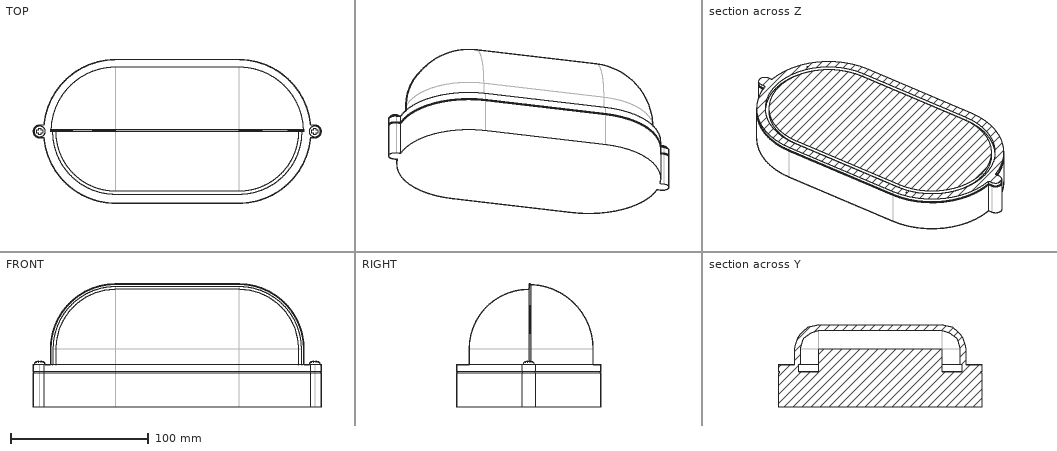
import cadquery as cq


END_SPACING = 90.0

HOUSING_RADIUS = 52.5
HOUSING_HEIGHT = 31.0
SEAM_HEIGHT = 25.5
SEAM_WIDTH = 0.8
SEAM_DEPTH = 0.3

OVERALL_LENGTH = 210.0
EAR_RADIUS = 4.75
EAR_CENTRE = OVERALL_LENGTH / 2 - EAR_RADIUS

OVERALL_HEIGHT = 90.0
LENS_RADIUS = 43.5
OPENING_RADIUS = 45.9
COVER_INNER_RADIUS = 45.5
COVER_RADIUS = 47.0
LIP_RADIUS = 47.5
EQUATOR_HEIGHT = OVERALL_HEIGHT - LIP_RADIUS
OPENING_FLOOR = SEAM_HEIGHT + SEAM_WIDTH / 2

LIP_WIDTH = 1.5
LIP_ROUNDING = 0.7

HEAD_RADIUS = 4.0
HEAD_HEIGHT = 2.5
RECESS_SPAN = 4.6
RECESS_ARM_WIDTH = 2.0
RECESS_DEPTH = 1.5


def oblong(radius, bottom, top):
    """Upright prism with straight sides and round ends."""
    return (
        cq.Workplane("XY", origin=(0, 0, bottom))
        .slot2D(END_SPACING + 2 * radius, 2 * radius)
        .extrude(top - bottom)
    )


def dome(radius, bottom):
    """Half capsule above the equator, continued straight down to the bottom height."""
    crown = EQUATOR_HEIGHT + radius
    solid = (
        cq.Workplane("YZ", origin=(-END_SPACING / 2, 0, 0))
        .moveTo(-radius, bottom)
        .lineTo(-radius, EQUATOR_HEIGHT)
        .threePointArc((0, crown), (radius, EQUATOR_HEIGHT))
        .lineTo(radius, bottom)
        .close()
        .extrude(END_SPACING)
    )
    for side in (-1, 1):
        round_end = (
            cq.Workplane("YZ", origin=(side * END_SPACING / 2, 0, 0))
            .moveTo(0, bottom)
            .lineTo(radius, bottom)
            .lineTo(radius, EQUATOR_HEIGHT)
            .radiusArc((0, crown), -radius)
            .close()
            .revolve(180, (0, 0), (0, -side))
        )
        solid = solid.union(round_end)
    return solid


def lip_plate():
    """Plate of the dome's lengthwise profile at the cut edge, with its rim rounded."""
    half_length = END_SPACING / 2 + LIP_RADIUS
    return (
        cq.Workplane("XZ")
        .moveTo(-half_length, HOUSING_HEIGHT)
        .lineTo(-half_length, EQUATOR_HEIGHT)
        .radiusArc((-END_SPACING / 2, OVERALL_HEIGHT), LIP_RADIUS)
        .lineTo(END_SPACING / 2, OVERALL_HEIGHT)
        .radiusArc((half_length, EQUATOR_HEIGHT), LIP_RADIUS)
        .lineTo(half_length, HOUSING_HEIGHT)
        .close()
        .extrude(-LIP_WIDTH)
        .faces("<Y or >Y")
        .edges("not <Z")
        .fillet(LIP_ROUNDING)
    )


def footprint(inset, bottom, top):
    """Housing outline with both ears, drawn in by the inset."""
    ears = (
        cq.Workplane("XY", origin=(0, 0, bottom))
        .slot2D(2 * (EAR_CENTRE + EAR_RADIUS - inset), 2 * (EAR_RADIUS - inset))
        .extrude(top - bottom)
    )
    return oblong(HOUSING_RADIUS - inset, bottom, top).union(ears)


def make_housing():
    seam_bottom = SEAM_HEIGHT - SEAM_WIDTH / 2
    seam_top = SEAM_HEIGHT + SEAM_WIDTH / 2
    base = footprint(0, 0, seam_bottom)
    gasket = footprint(SEAM_DEPTH, seam_bottom, seam_top)
    rim = footprint(0, seam_top, HOUSING_HEIGHT)
    opening = oblong(OPENING_RADIUS, OPENING_FLOOR, HOUSING_HEIGHT)
    return base.union(gasket).union(rim).cut(opening)


def make_cover():
    """Eyelid over the +Y half of the lens, with a rounded lip along its cut edge."""
    behind_lens = cq.Workplane("XY").box(
        OVERALL_LENGTH, HOUSING_RADIUS, OVERALL_HEIGHT, centered=(True, False, False)
    )
    shell = dome(COVER_RADIUS, HOUSING_HEIGHT).intersect(behind_lens)
    cavity = dome(COVER_INNER_RADIUS, OPENING_FLOOR)
    return shell.union(lip_plate()).cut(cavity)


def make_screw_head(x):
    head = (
        cq.Workplane("XZ")
        .lineTo(HEAD_RADIUS, 0)
        .radiusArc((HEAD_RADIUS - HEAD_HEIGHT, HEAD_HEIGHT), -HEAD_HEIGHT)
        .lineTo(0, HEAD_HEIGHT)
        .close()
        .revolve(360, (0, 0), (0, 1))
    )
    for length, width in ((RECESS_SPAN, RECESS_ARM_WIDTH), (RECESS_ARM_WIDTH, RECESS_SPAN)):
        arm = cq.Workplane("XY", origin=(0, 0, HEAD_HEIGHT)).rect(length, width).extrude(-RECESS_DEPTH)
        head = head.cut(arm)
    return head.translate((x, 0, HOUSING_HEIGHT))


result = make_housing().union(dome(LENS_RADIUS, OPENING_FLOOR)).union(make_cover())
for ear_x in (-EAR_CENTRE, EAR_CENTRE):
    result = result.union(make_screw_head(ear_x))